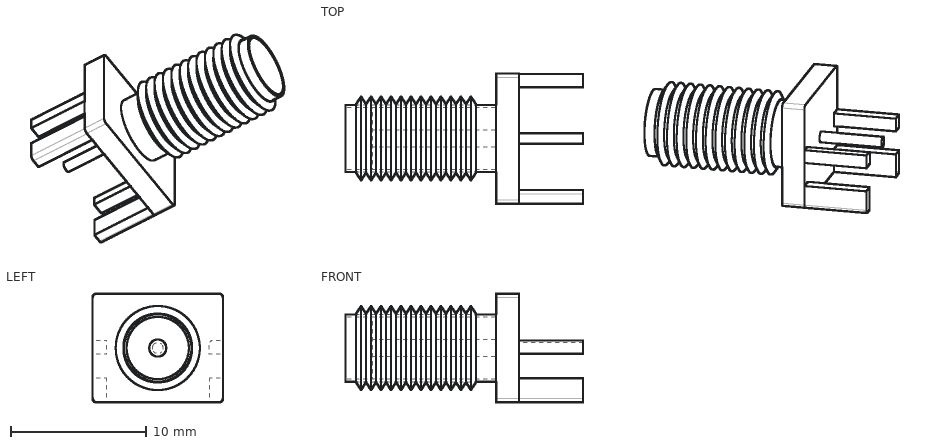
import cadquery as cq

TOTAL_LENGTH = 17.58

PLATE_THICKNESS = 1.7
PLATE_WIDTH = 9.65
PLATE_HEIGHT = 8.05
CORNER_RADIUS = 0.3

LEG_LENGTH = 4.73
LEG_WIDTH = 1.0
UPPER_LEG_HEIGHT = 1.0
UPPER_LEG_BOTTOM = -0.44
LOWER_LEG_HEIGHT = 1.8
LEG_INSET = 0.04
PIN_RADIUS = 0.4

BARREL_RADIUS = 2.5
BORE_RADIUS = 2.3
MOUTH_DEPTH = 2.0
CONTACT_RADIUS = 0.63

THREAD_START = 0.79
THREAD_PITCH = 0.74
THREAD_COUNT = 12
CREST_RADIUS = 3.11
VALLEY_RADIUS = 2.55

PLATE_BACK = TOTAL_LENGTH - LEG_LENGTH
PLATE_FRONT = PLATE_BACK - PLATE_THICKNESS
PLATE_BOTTOM = -PLATE_HEIGHT / 2
PLATE_SIDE = PLATE_WIDTH / 2


def plane_at(x):
    """Workplane across the barrel axis: local x is +Y, local y is +Z, extruding toward +X."""
    return cq.Workplane("YZ", origin=(x, 0, 0))


def make_plate():
    return (
        plane_at(PLATE_FRONT)
        .rect(PLATE_WIDTH, PLATE_HEIGHT)
        .extrude(PLATE_THICKNESS)
        .edges("|X")
        .fillet(CORNER_RADIUS)
    )


def make_barrel():
    return plane_at(0).circle(BARREL_RADIUS).circle(BORE_RADIUS).extrude(PLATE_FRONT)


def make_thread():
    """Sleeve around the barrel with a row of equal V-shaped ridges."""
    profile = [(THREAD_START, BARREL_RADIUS), (THREAD_START, VALLEY_RADIUS)]
    for i in range(THREAD_COUNT):
        ridge_start = THREAD_START + i * THREAD_PITCH
        profile.append((ridge_start + THREAD_PITCH / 2, CREST_RADIUS))
        profile.append((ridge_start + THREAD_PITCH, VALLEY_RADIUS))
    profile.append((THREAD_START + THREAD_COUNT * THREAD_PITCH, BARREL_RADIUS))
    return cq.Workplane("XY").polyline(profile).close().revolve(360, (0, 0, 0), (1, 0, 0))


def make_insulator():
    """Ring filling the bore from the mouth floor to the plate, around the contact."""
    return (
        plane_at(MOUTH_DEPTH)
        .circle(BORE_RADIUS)
        .circle(CONTACT_RADIUS)
        .extrude(PLATE_FRONT - MOUTH_DEPTH)
    )


def make_contact():
    return plane_at(MOUTH_DEPTH).circle(CONTACT_RADIUS).extrude(PLATE_FRONT - MOUTH_DEPTH)


def make_pin():
    return plane_at(PLATE_BACK).circle(PIN_RADIUS).extrude(LEG_LENGTH)


def make_leg(y_min, z_min, height, rounded_edge=None):
    """Straight leg on the plate's back face, with one long edge rounded if a selector is given."""
    leg = cq.Workplane("XY").box(LEG_LENGTH, LEG_WIDTH, height, centered=False)
    if rounded_edge:
        leg = leg.edges(rounded_edge).fillet(CORNER_RADIUS)
    return leg.translate((PLATE_BACK, y_min, z_min))


def make_legs():
    """Two short upper legs and two tall lower legs, leaving a gap for a circuit board."""
    left_leg = PLATE_SIDE - LEG_INSET - LEG_WIDTH
    right_upper_leg = LEG_INSET - PLATE_SIDE
    right_lower_leg = -PLATE_SIDE
    placements = [
        (left_leg, UPPER_LEG_BOTTOM, UPPER_LEG_HEIGHT, None),
        (right_upper_leg, UPPER_LEG_BOTTOM, UPPER_LEG_HEIGHT, "|X and >Y and >Z"),
        (left_leg, PLATE_BOTTOM, LOWER_LEG_HEIGHT, "|X and >Y and <Z"),
        (right_lower_leg, PLATE_BOTTOM, LOWER_LEG_HEIGHT, "|X and <Y and <Z"),
    ]
    return [make_leg(*placement) for placement in placements]


plate = make_plate()
barrel = make_barrel()
thread = make_thread()
insulator = make_insulator()
contact = make_contact()
pin = make_pin()
legs = make_legs()

result = cq.Compound.makeCompound(
    [
        plate.val(),
        barrel.val(),
        thread.val(),
        insulator.val(),
        contact.val(),
        pin.val(),
        *[leg.val() for leg in legs],
    ]
)